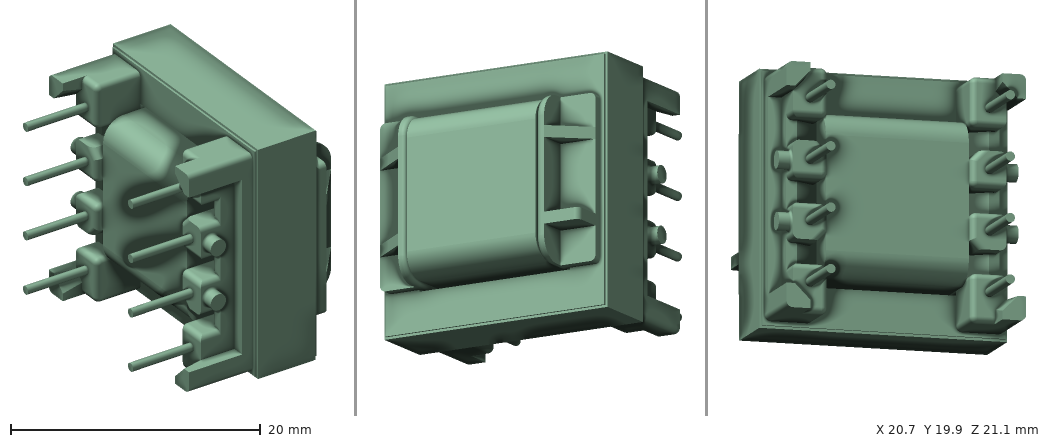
import cadquery as cq


OVERALL_X = 20.72
OVERALL_Z = 21.12
TAPE_THICKNESS = 0.2
TAPE_DEPTH = 5.58
CORE_DEPTH = 5.95
CORE_HALF_X = OVERALL_X / 2 - TAPE_THICKNESS
CORE_HALF_Z = OVERALL_Z / 2 - TAPE_THICKNESS
CENTRE_LEG_HALF = CORE_DEPTH / 2
WINDOW_HALF_X = 7.0
WINDOW_HALF_Z = 7.05

BORE_HALF = 3.08
WALL = 1.0
TUBE_HALF = BORE_HALF + WALL
FLANGE_INNER_X = 5.98
FLANGE_OUTER_X = 6.78
FLANGE_HALF_Z = 6.95
END_X = 10.01
EDGE_RADIUS = 0.5

WINDING_HALF = 6.7
WINDING_RADIUS = 1.99

BASE_HALF_Z = 10.03
TERRACE_X = 8.91
TERRACE_Y = -5.43
SLOPE_START_X = 8.03
POST_FRONT_Y = -7.33
CORNER_POST_Z = 5.98
MID_POST_Z = (1.01, 4.03)
MID_POST_CHAMFER = 0.74
ARM_SIDE = 1.99
ARM_TIP_Y = -9.2
ARM_CUT_ROOT = 0.87
ARM_CUT_TIP = 1.29

PIN_PITCH = 5.0
PIN_X = 7.5
PIN_RADIUS = 0.38
PIN_TIP_Y = -13.15
PIN_ROWS = (PIN_PITCH / 2, 3 * PIN_PITCH / 2)
BUTTON_RADIUS = 0.74
BUTTON_FLARE = 0.2
BUTTON_Y = (TERRACE_Y + POST_FRONT_Y) / 2


def block(x_range, y_range, z_range):
    """Box spanning the given coordinate ranges."""
    spans = (x_range, y_range, z_range)
    sizes = [high - low for low, high in spans]
    return cq.Workplane().box(*sizes, centered=False).translate(tuple(low for low, high in spans))


def tube(half_outer_x, half_outer_z, half_inner_x, half_inner_z, depth):
    """Rectangular frame around the Y axis, centred on the origin."""
    frame = cq.Workplane().box(2 * half_outer_x, depth, 2 * half_outer_z)
    return frame.cut(cq.Workplane().box(2 * half_inner_x, depth, 2 * half_inner_z))


def make_core_half(side):
    core = tube(CORE_HALF_X, CORE_HALF_Z, WINDOW_HALF_X, WINDOW_HALF_Z, CORE_DEPTH)
    core = core.union(cq.Workplane().box(2 * CORE_HALF_X, CORE_DEPTH, 2 * CENTRE_LEG_HALF))
    half_space = cq.Workplane().box(CORE_HALF_X, CORE_DEPTH, 2 * CORE_HALF_Z)
    return core.intersect(half_space.translate((side * CORE_HALF_X / 2, 0, 0)))


def make_tape():
    return tube(OVERALL_X / 2, OVERALL_Z / 2, CORE_HALF_X, CORE_HALF_Z, TAPE_DEPTH)


def make_winding():
    coil = cq.Workplane().box(2 * FLANGE_INNER_X, 2 * WINDING_HALF, 2 * WINDING_HALF)
    coil = coil.edges("|X").fillet(WINDING_RADIUS)
    return coil.cut(cq.Workplane().box(2 * FLANGE_INNER_X, 2 * TUBE_HALF, 2 * TUBE_HALF))


def make_flange():
    """Winding cheek, rounded on the side that faces the winding."""
    flange = block((FLANGE_INNER_X, FLANGE_OUTER_X), (-TUBE_HALF, WINDING_HALF), (-FLANGE_HALF_Z, FLANGE_HALF_Z))
    flange = flange.edges("|X and >Y").fillet(WINDING_RADIUS)
    return flange.faces("<X").edges("not <Y").fillet(EDGE_RADIUS)


def make_back_plate():
    """Plate behind the core, rounded at its corners and along the outer edge that faces the core."""
    x_range = (FLANGE_INNER_X, END_X)
    y_range = (BORE_HALF, TUBE_HALF)
    z_range = (-FLANGE_HALF_Z, FLANGE_HALF_Z)
    rounded_below = block(x_range, y_range, z_range).edges(">X and <Y").fillet(EDGE_RADIUS)
    rounded_corners = block(x_range, y_range, z_range).edges("|Y").fillet(EDGE_RADIUS)
    return rounded_below.intersect(rounded_corners)


def make_gusset():
    """Triangular rib that braces the flange against the back plate."""
    outline = [(FLANGE_OUTER_X, TUBE_HALF), (END_X, TUBE_HALF), (FLANGE_OUTER_X, WINDING_HALF)]
    return cq.Workplane().polyline(outline).close().extrude(WALL).translate((0, 0, BORE_HALF))


def make_tab():
    """Square rib with one rounded corner that replaces a gusset."""
    tab = block((FLANGE_OUTER_X, END_X), (TUBE_HALF, WINDING_HALF), (BORE_HALF, TUBE_HALF))
    return tab.edges("|Z and >X and >Y").fillet(EDGE_RADIUS)


def make_base():
    """Bar along the core face, with a terrace that slopes down to the winding."""
    bar = block((FLANGE_INNER_X, END_X), (-TUBE_HALF, -BORE_HALF), (-BASE_HALF_Z, BASE_HALF_Z))
    bar = bar.edges("|Y").fillet(EDGE_RADIUS)
    outline = [
        (FLANGE_INNER_X, -BORE_HALF),
        (TERRACE_X, -BORE_HALF),
        (TERRACE_X, TERRACE_Y),
        (SLOPE_START_X, TERRACE_Y),
        (FLANGE_INNER_X, -TUBE_HALF),
    ]
    half_length = BASE_HALF_Z - ARM_SIDE
    terrace = cq.Workplane().polyline(outline).close().extrude(half_length, both=True)
    return bar.union(terrace)


def make_corner_post():
    """Pin post at the end of a row, flush with the end of the base."""
    post = block((FLANGE_INNER_X, TERRACE_X), (POST_FRONT_Y, -BORE_HALF), (CORNER_POST_Z, BASE_HALF_Z))
    return post.edges("(|Y and (<X or <Z)) or (<Y and (<X or |X))").fillet(EDGE_RADIUS)


def make_mid_post():
    """Pin post inside a row, with one chamfered inner corner."""
    post = block((FLANGE_INNER_X, TERRACE_X), (POST_FRONT_Y, -BORE_HALF), MID_POST_Z)
    post = post.edges("|Y and <X and >Z").chamfer(MID_POST_CHAMFER)
    return post.edges("(|Y and (>X or <Z)) or (<Y and (not >X) and (not >Z))").fillet(EDGE_RADIUS)


def make_arm():
    """Corner arm whose inner edge is cut by a plane that deepens towards the tip."""
    arm = block((END_X - ARM_SIDE, END_X), (ARM_TIP_Y, -BORE_HALF), (BASE_HALF_Z - ARM_SIDE, BASE_HALF_Z))
    arm = arm.edges("|Y and >X and >Z").fillet(EDGE_RADIUS)
    corner_x = END_X - ARM_SIDE
    corner_z = BASE_HALF_Z - ARM_SIDE

    def triangle(y, leg):
        points = [(corner_x, y, corner_z), (corner_x + leg, y, corner_z), (corner_x, y, corner_z + leg)]
        return cq.Wire.makePolygon([cq.Vector(*point) for point in points], close=True)

    wedge = cq.Solid.makeLoft([triangle(POST_FRONT_Y, ARM_CUT_ROOT), triangle(ARM_TIP_Y, ARM_CUT_TIP)], True)
    return arm.cut(cq.Workplane(wedge))


def make_pin(z):
    """Straight pin moulded onto the front of a post."""
    pin = cq.Workplane("XZ").center(PIN_X, z).circle(PIN_RADIUS).extrude(POST_FRONT_Y - PIN_TIP_Y)
    return pin.translate((0, POST_FRONT_Y, 0))


def make_button():
    """Round stub on the outer side of a middle post, flared where it meets the post."""
    length = END_X - TERRACE_X
    flared_radius = BUTTON_RADIUS + BUTTON_FLARE
    profile = (
        cq.Workplane()
        .lineTo(0, flared_radius)
        .radiusArc((BUTTON_FLARE, BUTTON_RADIUS), -BUTTON_FLARE)
        .lineTo(length, BUTTON_RADIUS)
        .lineTo(length, 0)
        .close()
    )
    stub = profile.revolve(360, (0, 0, 0), (1, 0, 0))
    return stub.translate((TERRACE_X, BUTTON_Y, PIN_ROWS[0]))


def make_pin_side_half():
    """Posts, arm, pins and button in the +Z half."""
    half = make_corner_post().union(make_mid_post()).union(make_arm()).union(make_button())
    for z in PIN_ROWS:
        half = half.union(make_pin(z))
    return half


def make_end():
    """Everything the two bobbin ends have in common."""
    half = make_pin_side_half()
    end = make_flange().union(make_back_plate()).union(make_base())
    return end.union(half).union(half.mirror("XY"))


def make_bobbin():
    """Both ends on a square tube; only the -X end has a tab, in place of its lower gusset."""
    end = make_end()
    gusset = make_gusset()
    tab = make_tab()
    body = cq.Workplane().box(2 * FLANGE_OUTER_X, 2 * TUBE_HALF, 2 * TUBE_HALF)
    body = body.union(end).union(end.mirror("YZ"))
    body = body.union(gusset).union(gusset.mirror("XY")).union(gusset.mirror("YZ"))
    body = body.union(tab.mirror("YZ").mirror("XY"))
    return body.cut(cq.Workplane().box(2 * END_X, 2 * BORE_HALF, 2 * BORE_HALF))


core_halves = [make_core_half(side) for side in (-1, 1)]
tape = make_tape()
winding = make_winding()
bobbin = make_bobbin()

result = cq.Compound.makeCompound([
    *[half.val() for half in core_halves],
    tape.val(),
    winding.val(),
    bobbin.val(),
])